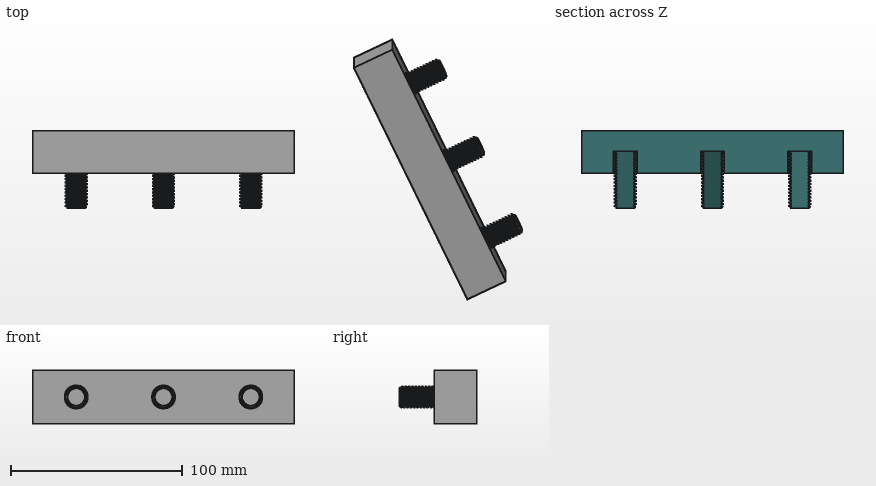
import cadquery as cq

BAR_LENGTH = 152.4
BAR_HEIGHT = 31.2
OVERALL_DEPTH = 45.3
BAR_DEPTH = 24.8
STUD_COUNT = 3
HOLE_DIAMETER = 13.5
THREAD_DIAMETER = 12.6
THREADS_PER_DIAMETER = 6.5
ROOT_DIAMETER = 10.2
TIP_DIAMETER = 10.0
TIP_CHAMFER_LENGTH = 1.2
CREST_WIDTH = 0.3
ROOT_WIDTH = 0.3
CREST_OFFSET = 0.5

THREAD_SINK = 0.2
RUNOUT_TURNS = 2
ENVELOPE_CONE_LENGTH = 3.0

STUD_REACH = OVERALL_DEPTH - BAR_DEPTH
HOLE_DEPTH = THREAD_DIAMETER
STUD_LENGTH = STUD_REACH + HOLE_DEPTH
STUD_SPACING = BAR_LENGTH / STUD_COUNT
STUD_POSITIONS = [(index - (STUD_COUNT - 1) / 2) * STUD_SPACING for index in range(STUD_COUNT)]
PITCH = THREAD_DIAMETER / THREADS_PER_DIAMETER
THREAD_RADIUS = THREAD_DIAMETER / 2
ROOT_RADIUS = ROOT_DIAMETER / 2
TIP_RADIUS = TIP_DIAMETER / 2


def make_bar():
    """Bar with its front face on Y = 0 and a row of blind holes centred on that face."""
    block = cq.Workplane("XY").box(BAR_LENGTH, BAR_DEPTH, BAR_HEIGHT).translate((0, BAR_DEPTH / 2, 0))
    holes = (
        cq.Workplane("XZ")
        .pushPoints([(x, 0) for x in STUD_POSITIONS])
        .circle(HOLE_DIAMETER / 2)
        .extrude(-HOLE_DEPTH)
    )
    return block.cut(holes)


def make_thread_ridge():
    """Right-hand helical ridge around Z, longer than the stud at both ends.

    Its straight flanks continue below the root radius so that it merges with the core.
    """
    runout = RUNOUT_TURNS * PITCH
    turns_in_hole = HOLE_DEPTH / PITCH
    start = CREST_OFFSET - round(turns_in_hole) * PITCH - runout
    half_crest = CREST_WIDTH / 2
    flank_width = (PITCH - CREST_WIDTH - ROOT_WIDTH) / 2
    flank_slope = flank_width / (THREAD_RADIUS - ROOT_RADIUS)
    base_radius = ROOT_RADIUS - THREAD_SINK
    half_base = half_crest + flank_slope * (THREAD_RADIUS - base_radius)
    helix = cq.Wire.makeHelix(PITCH, STUD_LENGTH + 2 * runout, ROOT_RADIUS).translate(cq.Vector(0, 0, start))
    return (
        cq.Workplane("XZ")
        .moveTo(base_radius, start - half_base)
        .lineTo(THREAD_RADIUS, start - half_crest)
        .lineTo(THREAD_RADIUS, start + half_crest)
        .lineTo(base_radius, start + half_base)
        .close()
        .sweep(cq.Workplane(helix), isFrenet=True)
    )


def make_trim_envelope():
    """Space along Z that a stud may fill: flat at the hole floor, with a cone that chamfers the tip.

    The cone continues outward past the thread crests, so only the tip is chamfered.
    """
    cone_slope = (THREAD_RADIUS - TIP_RADIUS) / TIP_CHAMFER_LENGTH
    outer_radius = TIP_RADIUS + cone_slope * ENVELOPE_CONE_LENGTH
    return (
        cq.Workplane("XZ")
        .moveTo(0, -HOLE_DEPTH)
        .lineTo(outer_radius, -HOLE_DEPTH)
        .lineTo(outer_radius, STUD_REACH - ENVELOPE_CONE_LENGTH)
        .lineTo(TIP_RADIUS, STUD_REACH)
        .lineTo(0, STUD_REACH)
        .close()
        .revolve(360, (0, 0, 0), (0, 1, 0))
    )


def make_stud():
    """Threaded stud pointing along -Y, from the floor of a hole to its chamfered tip."""
    envelope = make_trim_envelope()
    core = cq.Workplane("XY").workplane(offset=-HOLE_DEPTH).circle(ROOT_RADIUS).extrude(STUD_LENGTH)
    ridge = make_thread_ridge().intersect(envelope)
    stud = core.intersect(envelope).union(ridge)
    return stud.rotate((0, 0, 0), (1, 0, 0), 90)


bar = make_bar()
stud = make_stud()
studs = [stud.translate((x, 0, 0)) for x in STUD_POSITIONS]

result = cq.Compound.makeCompound([bar.val(), *[placed.solids().val() for placed in studs]])